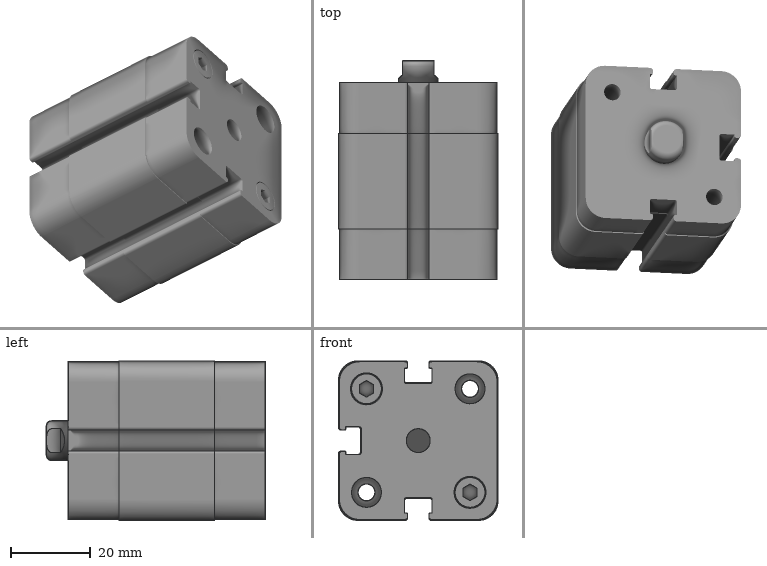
import cadquery as cq
import math

end_cap_length = 12.75
barrel_length = 24.0
body_length = 2 * end_cap_length + barrel_length

barrel_side = 40.1
end_cap_side = 39.6
corner_radius = 5.0

slot_mouth_width = 5.3
slot_inner_width = 6.9
slot_depth = 5.5
slot_lip_depth = 1.9
slot_floor_radius = 0.5
slot_lip_radius = 0.4
slot_mouth_radius = 0.7

hole_spacing = 26.0
mounting_hole_diameter = 4.2
counterbore_diameter = 7.5
counterbore_depth = 4.6
screw_recess_diameter = 8.0
screw_head_diameter = 7.5
screw_gap_depth = 1.0
hex_corner_diameter = 4.13
hex_depth = 2.5
center_hole_diameter = 6.0
center_hole_depth = 10.0

rod_diameter = 10.0
rod_length = 5.5
rod_end_radius = 1.4
flat_spacing = 8.0
flat_length = 3.6

barrel_start = end_cap_length
barrel_end = end_cap_length + barrel_length
pitch_half = hole_spacing / 2

arc_middle_inset = 1 - math.sqrt(0.5)


def xz_plane(y):
    """Sketch plane at the given y; local axes are X and Z, and extruding by a negative length goes to +Y."""
    return cq.Workplane("XZ", origin=(0, y, 0))


def slot_cutter(start_y, length, side):
    """T-slot cutter through the +Z side of a body section, with a rounded mouth at its surface."""
    barrel_surface = barrel_side / 2
    surface = side / 2
    mouth = slot_mouth_width / 2
    inner = slot_inner_width / 2
    lip_z = barrel_surface - slot_lip_depth
    floor_z = surface - slot_depth
    arc_start_z = surface - slot_mouth_radius
    mouth_inset = slot_mouth_radius * arc_middle_inset
    lip_inset = slot_lip_radius * arc_middle_inset
    flare = mouth + slot_mouth_radius
    lip_round_x = mouth + slot_lip_radius
    lip_round_z = lip_z + slot_lip_radius
    outline = (
        xz_plane(start_y)
        .moveTo(-inner, floor_z)
        .lineTo(inner, floor_z)
        .lineTo(inner, lip_z)
        .lineTo(lip_round_x, lip_z)
        .threePointArc((mouth + lip_inset, lip_z + lip_inset), (mouth, lip_round_z))
        .lineTo(mouth, arc_start_z)
        .threePointArc((mouth + mouth_inset, surface - mouth_inset), (flare, surface))
        .lineTo(-flare, surface)
        .threePointArc((-mouth - mouth_inset, surface - mouth_inset), (-mouth, arc_start_z))
        .lineTo(-mouth, lip_round_z)
        .threePointArc((-mouth - lip_inset, lip_z + lip_inset), (-lip_round_x, lip_z))
        .lineTo(-inner, lip_z)
        .close()
        .extrude(-length)
    )
    return outline.edges("|Y and <Z").fillet(slot_floor_radius)


def body_section(start_y, length, side):
    """Rounded square section with T-slots in the +Z, -Z and -X sides."""
    section = xz_plane(start_y).rect(side, side).extrude(-length).edges("|Y").fillet(corner_radius)
    slot = slot_cutter(start_y, length, side)
    for angle in (0, -90, 180):
        section = section.cut(slot.rotate((0, 0, 0), (0, 1, 0), angle))
    return section


def piston_rod():
    """Rod with a rounded end and two opposite flats that run out at 45 degrees."""
    rod = (
        xz_plane(body_length)
        .circle(rod_diameter / 2)
        .extrude(-rod_length)
        .faces(">Y")
        .edges()
        .fillet(rod_end_radius)
    )
    rod_tip = body_length + rod_length
    flat_x = flat_spacing / 2
    outer_x = rod_diameter / 2
    runout = outer_x - flat_x
    flat_cutter = (
        cq.Workplane("XY")
        .moveTo(flat_x, rod_tip)
        .lineTo(flat_x, rod_tip - flat_length)
        .lineTo(outer_x, rod_tip - flat_length - runout)
        .lineTo(outer_x, rod_tip)
        .close()
        .extrude(rod_diameter / 2, both=True)
    )
    return rod.cut(flat_cutter).cut(flat_cutter.mirror("YZ"))


def mounting_holes():
    """Counterbored through holes at two opposite corners."""
    corners = [(pitch_half, pitch_half), (-pitch_half, -pitch_half)]
    bores = xz_plane(0).pushPoints(corners).circle(mounting_hole_diameter / 2).extrude(-body_length)
    counterbores = (
        xz_plane(0).pushPoints(corners).circle(counterbore_diameter / 2).extrude(-counterbore_depth)
    )
    return bores.union(counterbores)


def screw_details():
    """Annular gap around each flush screw head and the hexagon socket with its corners along Z."""
    corners = [(-pitch_half, pitch_half), (pitch_half, -pitch_half)]
    cutter = (
        xz_plane(0)
        .pushPoints(corners)
        .circle(screw_recess_diameter / 2)
        .circle(screw_head_diameter / 2)
        .extrude(-screw_gap_depth)
    )
    for x, z in corners:
        socket = (
            xz_plane(0)
            .center(x, z)
            .transformed(rotate=(0, 0, 90))
            .polygon(6, hex_corner_diameter)
            .extrude(-hex_depth)
        )
        cutter = cutter.union(socket)
    return cutter


body = body_section(0, end_cap_length, end_cap_side)
body = body.union(body_section(barrel_start, barrel_length, barrel_side))
body = body.union(body_section(barrel_end, end_cap_length, end_cap_side))
body = body.cut(mounting_holes())
body = body.cut(screw_details())
center_hole = xz_plane(0).circle(center_hole_diameter / 2).extrude(-center_hole_depth)
body = body.cut(center_hole)

result = body.union(piston_rod())